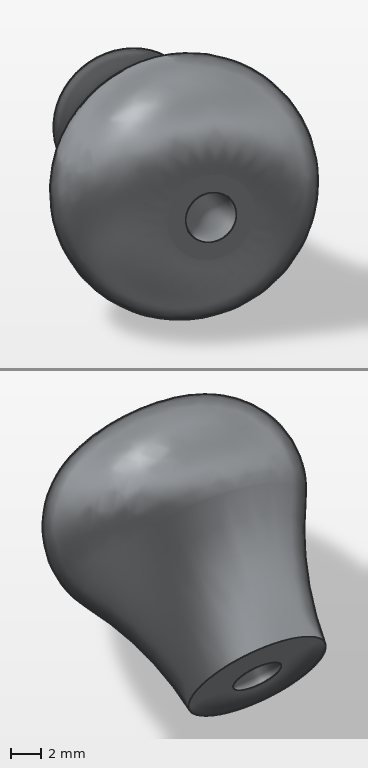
import cadquery as cq
import math

length = 19.0
head_diameter = 18.0
head_round_radius = 6.0
neck_length = 10.0
neck_end_diameter = 10.0
bore_diameter = 3.5

round_center_x = length - head_round_radius
round_center_r = head_diameter / 2 - head_round_radius

joint_offset = round_center_x - neck_length
joint_radius = round_center_r + math.sqrt(head_round_radius**2 - joint_offset**2)


def make_body():
    """Revolve the half outline: flat end, round head, then a tangent concave neck."""
    outline = (
        cq.Workplane("XY")
        .moveTo(0, 0)
        .lineTo(length, 0)
        .lineTo(length, round_center_r)
        .threePointArc(
            (round_center_x, head_diameter / 2),
            (neck_length, joint_radius),
        )
        .tangentArcPoint((0, neck_end_diameter / 2), relative=False)
        .close()
    )
    return outline.revolve(360, (0, 0, 0), (1, 0, 0))


def make_bore():
    """Straight bore through the full length."""
    return cq.Workplane("YZ").circle(bore_diameter / 2).extrude(length)


result = make_body().cut(make_bore())